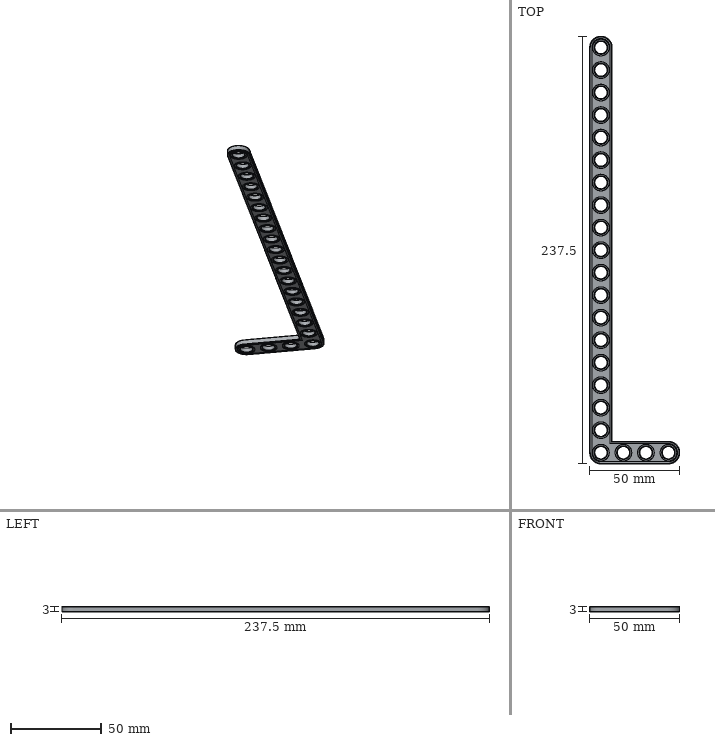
import cadquery as cq
import math

length = 237.5
thickness = 3.0
long_arm_holes = 19
short_arm_holes = 4
hole_diameter = 7.0
collar_diameter = 9.3
rim_width = 1.24
recess_depth = 0.1
edge_chamfer = 0.3

pitch = length / long_arm_holes
end_radius = pitch / 2

long_arm_end = (long_arm_holes - 1) * pitch
short_arm_end = (short_arm_holes - 1) * pitch
hole_centres = [(0, i * pitch) for i in range(long_arm_holes)]
hole_centres += [(i * pitch, 0) for i in range(1, short_arm_holes)]


def angle_plate(radius, height):
    """L-shaped plate whose outline lies one radius away from the hole lines."""
    diagonal = radius * math.sqrt(0.5)
    return (
        cq.Workplane("XY")
        .moveTo(0, -radius)
        .lineTo(short_arm_end, -radius)
        .threePointArc((short_arm_end + radius, 0), (short_arm_end, radius))
        .lineTo(radius, radius)
        .lineTo(radius, long_arm_end)
        .threePointArc((0, long_arm_end + radius), (-radius, long_arm_end))
        .lineTo(-radius, 0)
        .threePointArc((-diagonal, -diagonal), (0, -radius))
        .close()
        .extrude(height)
    )


def discs(diameter, height):
    """One disc on every hole centre."""
    return cq.Workplane("XY").pushPoints(hole_centres).circle(diameter / 2).extrude(height)


plate = angle_plate(end_radius, thickness).cut(discs(hole_diameter, thickness))
plate = plate.faces("|Z").edges().chamfer(edge_chamfer)

recess = angle_plate(end_radius - rim_width, recess_depth).cut(discs(collar_diameter, recess_depth))

top_recess = recess.translate((0, 0, thickness - recess_depth))
result = plate.cut(recess).cut(top_recess)